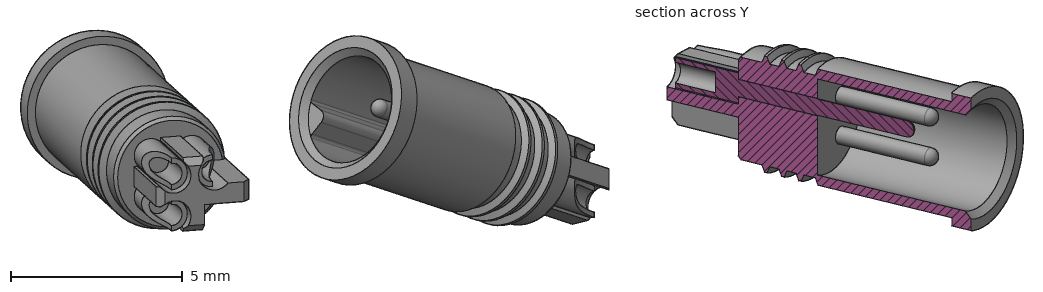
import cadquery as cq
import math


overall_length = 10.7
flange_radius = 2.15
flange_length = 0.7
body_radius = 1.9
body_end = 5.39
neck_radius = 1.7
neck_end = 8.2
neck_chamfer = 0.1

ring_count = 3
ring_pitch = 0.6
first_ring_x = 6.02
ring_crest = 0.1
ring_slope = 0.1

cavity_radius = 1.59
cavity_floor = body_end
mouth_chamfer = 0.2

key_tip_y = 1.02
key_tip_radius = 0.24
key_flank_angle = 39.0
key_root_overlap = 0.05
key_root_y = cavity_radius + key_root_overlap
key_root_fillet = 0.1

arm_thickness = 0.6
arm_reach = 1.11
long_arm_reach = neck_radius
long_arm_start = 7.83
arm_chamfer = 0.21
long_arm_angle = 0
short_arm_angles = (90, 180, 270)

pin_offset = 0.62
pin_positions = [(pin_offset, pin_offset), (-pin_offset, pin_offset), (-pin_offset, -pin_offset)]
contact_radius = 0.27
contact_tip = 2.0
cup_radius = 0.48
cup_seat_clearance = 0.02
cup_seat_radius = cup_radius + cup_seat_clearance
cup_end = 10.4
cup_bore_radius = 0.32
cup_bore_depth = 1.39
scoop_radius = 2.44


def x_cylinder(radius, x_start, x_end, y=0.0, z=0.0):
    """A cylinder parallel to X."""
    return cq.Workplane("YZ", origin=(x_start, y, z)).circle(radius).extrude(x_end - x_start)


def make_sleeve():
    """Solid of revolution: flange, body, neck with sealing rings."""
    profile = [
        (0, 0),
        (0, flange_radius),
        (flange_length, flange_radius),
        (flange_length, body_radius),
        (body_end, body_radius),
        (body_end + ring_slope, neck_radius),
    ]
    for index in range(ring_count):
        ring_x = first_ring_x + index * ring_pitch
        half_crest = ring_crest / 2
        half_base = half_crest + ring_slope
        profile += [
            (ring_x - half_base, neck_radius),
            (ring_x - half_crest, body_radius),
            (ring_x + half_crest, body_radius),
            (ring_x + half_base, neck_radius),
        ]
    profile += [
        (neck_end - neck_chamfer, neck_radius),
        (neck_end, neck_radius - neck_chamfer),
        (neck_end, 0),
    ]
    return cq.Workplane("XY").polyline(profile).close().revolve(360, (0, 0, 0), (1, 0, 0))


def make_key():
    """Wedge with a rounded tip, running along the cavity wall."""
    slope = math.radians(key_flank_angle)
    tangent_y = key_tip_y + key_tip_radius * (1 - math.sin(slope))
    tangent_z = key_tip_radius * math.cos(slope)
    root_z = tangent_z + (key_root_y - tangent_y) * math.tan(slope)
    return (
        cq.Workplane("YZ", origin=(mouth_chamfer, 0, 0))
        .moveTo(key_root_y, root_z)
        .lineTo(tangent_y, tangent_z)
        .threePointArc((key_tip_y, 0), (tangent_y, -tangent_z))
        .lineTo(key_root_y, -root_z)
        .close()
        .extrude(cavity_floor - mouth_chamfer)
    )


def make_cavity():
    """Bore with the coding key left standing and a chamfered mouth."""
    bore = x_cylinder(cavity_radius, mouth_chamfer, cavity_floor).cut(make_key())
    bore = bore.edges("|X and >Y").fillet(key_root_fillet)
    mouth_profile = [
        (0, 0),
        (0, cavity_radius + mouth_chamfer),
        (mouth_chamfer, cavity_radius),
        (mouth_chamfer, 0),
    ]
    mouth = cq.Workplane("XY").polyline(mouth_profile).close().revolve(360, (0, 0, 0), (1, 0, 0))
    return mouth.union(bore)


def make_arm(reach, start, angle):
    """One arm of the cross, pointing to +Y and then turned about X."""
    profile = [
        (start, 0),
        (start, reach),
        (overall_length - arm_chamfer, reach),
        (overall_length, reach - arm_chamfer),
        (overall_length, 0),
    ]
    arm = cq.Workplane("XY").polyline(profile).close().extrude(arm_thickness / 2, both=True)
    return arm.rotate((0, 0, 0), (1, 0, 0), angle)


def make_pin(y, z):
    """Contact with a round tip and a solder cup that is scooped open on its outer side."""
    tip_center_x = contact_tip + contact_radius
    contact = x_cylinder(contact_radius, tip_center_x, neck_end, y, z)
    tip = cq.Workplane("XY", origin=(tip_center_x, y, z)).sphere(contact_radius)
    cup = x_cylinder(cup_radius, neck_end, cup_end, y, z)
    bore = x_cylinder(cup_bore_radius, cup_end - cup_bore_depth, cup_end, y, z)
    scoop_y = y + math.copysign(scoop_radius, y)
    scoop = cq.Workplane("XY", origin=(cup_end, scoop_y, z)).circle(scoop_radius)
    scoop = scoop.extrude(cup_radius, both=True)
    return contact.union(tip).union(cup).cut(bore).cut(scoop)


def make_housing():
    """Sleeve and cross in one piece, with a hole and a grooved cup seat for each pin."""
    housing = make_sleeve().cut(make_cavity())
    housing = housing.union(make_arm(long_arm_reach, long_arm_start, long_arm_angle))
    for angle in short_arm_angles:
        housing = housing.union(make_arm(arm_reach, neck_end, angle))
    for y, z in pin_positions:
        housing = housing.cut(x_cylinder(contact_radius, cavity_floor, neck_end, y, z))
        housing = housing.cut(x_cylinder(cup_seat_radius, neck_end, overall_length, y, z))
    return housing


housing = make_housing()
pins = [make_pin(y, z) for y, z in pin_positions]
result = cq.Compound.makeCompound([housing.val(), *[pin.val() for pin in pins]])